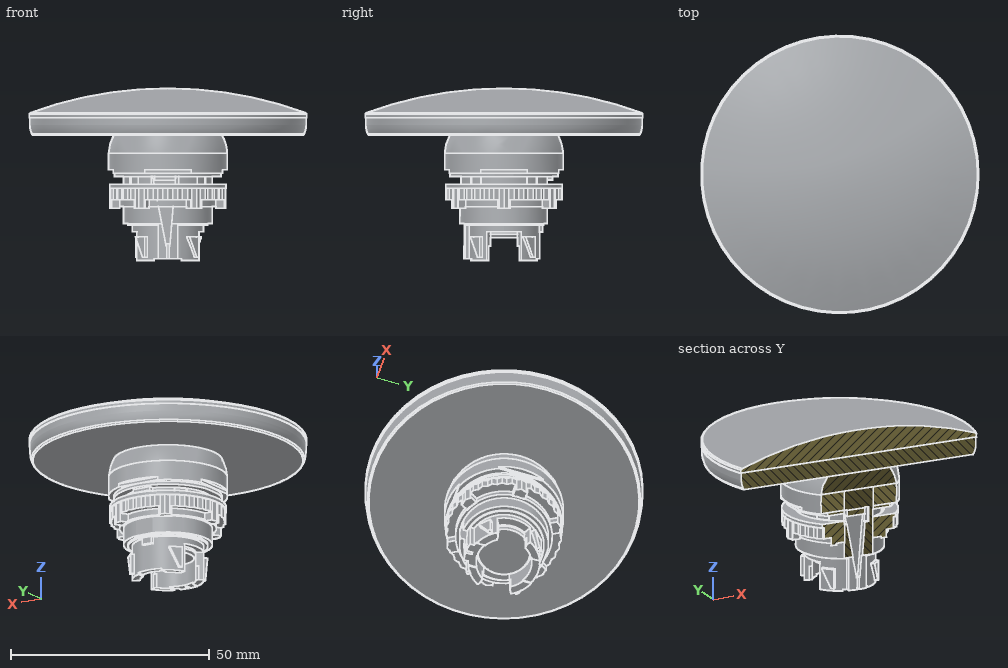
import cadquery as cq
import math

KEY_BOTTOM = 0.4
WINDOW_SLOT_TOP = 3.65
PLUNGER_BOTTOM = 5.75
WINDOW_TOP = 7.2
COLLAR_BOTTOM = 8.9
BARREL_BOTTOM = 9.3
NUT_LUG_BOTTOM = 13.15
NUT_SKIRT_BOTTOM = 13.6
TOOTH_BOTTOM = 15.25
FLANGE_BOTTOM = 18.2
NUT_TOP = 19.25
TAB_BOTTOM = 20.2
GASKET_BOTTOM = 21.1
BEZEL_BOTTOM = 22.0
BEZEL_FLAT_TOP = 22.8
BEZEL_TOP = 27.0
HEAD_BOTTOM = 31.5
LID_BOTTOM = 36.0
RIM_TOP = 37.2
TOTAL_HEIGHT = 43.4

LID_RADIUS = 35.0
RIM_CHAMFER = 0.35
HEAD_RADIUS = 34.85
HEAD_BOTTOM_RADIUS = 34.0
HEAD_EDGE_START = 34.1
HEAD_EDGE_END = 31.9
HEAD_EDGE_END_RADIUS = 34.35
HEAD_EDGE_MIDDLE_RADIUS = 34.7
PLUNGER_RADIUS = 7.0
PLUNGER_TIP_RADIUS = 6.6
PLUNGER_TAPER_HEIGHT = 0.9

BEZEL_RADIUS = 15.0
BEZEL_FLAT_DISTANCE = 13.8
BOOT_TOP_RADIUS = 13.7
BOOT_MIDDLE_RADIUS = 14.6

GASKET_RADIUS = 13.65
GASKET_FLAT_DISTANCE = 13.45
FRONT_TAB_LEFT = -3.3
FRONT_TAB_RIGHT = 1.8
FRONT_TAB_REACH = 10.7
REAR_TAB_WIDTH = 5.05
REAR_TAB_REACH = 12.25

BARREL_RADIUS = 11.2
REAR_FLAT_DISTANCE = 10.9
COLLAR_RADIUS = 10.1
LEG_RADIUS = 9.0
WINDOW_HALF_ANGLE = 29.0
WINDOW_SLOT_WIDTH = 7.55
KEY_WIDTH = 4.9
FOOT_RELIEF_WIDTH = 6.85
REAR_LUG_WIDTH = 2.8
REAR_LUG_REACH = 9.8
REAR_LUG_BOTTOM = 7.15

GUIDE_FLOOR = 8.8
GUIDE_BOTTOM = 3.6
GUIDE_BOTTOM_LEFT = -0.4
GUIDE_BOTTOM_RIGHT = 0.5
GUIDE_TOP_LEFT = -4.0
GUIDE_TOP_RIGHT = 2.0
GUIDE_TAIL_WIDTH = 0.6
GUIDE_TAIL_TOP = 4.2
GUIDE_TAIL_FLOOR = 8.4
GUIDE_POCKET_LEFT = -4.2
GUIDE_POCKET_RIGHT = 2.8
GUIDE_POCKET_FLOOR = 9.95

POCKET_ANGLES = (40, 140, 220, 320)
POCKET_SPAN = 17.0
POCKET_DEPTH = 0.35

LEFT_HOOK_ANGLES = (135, 225)
RIGHT_HOOK_ANGLES = (45, 315)
RIGHT_HOOK_SHIFT = -0.4
HOOK_BOTTOM = 0.85
HOOK_TOP = 5.95
HOOK_REACH = 9.9
HOOK_ROOT = 8.4
HOOK_LEFT = -1.7
HOOK_RIGHT = 1.6
HOOK_TIP_LEFT = 0.85

FLANGE_RADIUS = 14.7
TOOTH_TIP_RADIUS = 14.6
TOOTH_ROOT_RADIUS = 14.2
TOOTH_COUNT = 36
SKIRT_RADIUS = 12.2
NUT_LUG_COUNT = 6
NUT_LUG_WIDTH = 3.2


def disc(radius, bottom, top):
    return cq.Workplane("XY").workplane(offset=bottom).circle(radius).extrude(top - bottom)


def ring(outer_radius, inner_radius, bottom, top):
    return disc(outer_radius, bottom, top).cut(disc(inner_radius, bottom, top))


def block(x_min, x_max, y_min, y_max, bottom, top):
    size = (x_max - x_min, y_max - y_min, top - bottom)
    return cq.Workplane("XY").box(*size, centered=False).translate((x_min, y_min, bottom))


def polar(radius, degrees):
    angle = math.radians(degrees)
    return (radius * math.cos(angle), radius * math.sin(angle))


def revolve_profile(profile):
    return profile.close().revolve(360, (0, 0, 0), (0, 1, 0))


def front_prism(points, floor, reach):
    """Outline in X and Z, extruded outwards along -Y from the floor distance to the reach."""
    return cq.Workplane("XZ").workplane(offset=floor).polyline(points).close().extrude(reach - floor)


def sector(half_angle, reach, bottom, top):
    """Triangular prism around +X whose two sides run radially from the axis."""
    outline = [(0, 0), polar(reach, -half_angle), polar(reach, half_angle)]
    return cq.Workplane("XY").workplane(offset=bottom).polyline(outline).close().extrude(top - bottom)


def make_lid():
    """Domed lid of the mushroom head."""
    dome_radius = LID_RADIUS - RIM_CHAMFER
    dome_height = TOTAL_HEIGHT - RIM_TOP
    sphere_radius = (dome_radius**2 + dome_height**2) / (2 * dome_height)
    middle = dome_radius / 2
    middle_height = TOTAL_HEIGHT - sphere_radius + math.sqrt(sphere_radius**2 - middle**2)
    return revolve_profile(
        cq.Workplane("XZ")
        .moveTo(0, LID_BOTTOM)
        .lineTo(LID_RADIUS, LID_BOTTOM)
        .lineTo(LID_RADIUS, RIM_TOP - RIM_CHAMFER)
        .lineTo(dome_radius, RIM_TOP)
        .threePointArc((middle, middle_height), (0, TOTAL_HEIGHT))
    )


def make_head():
    """Plate of the mushroom head with the tapered-tip plunger below it."""
    edge_middle = (HEAD_EDGE_MIDDLE_RADIUS, (HEAD_EDGE_START + HEAD_EDGE_END) / 2)
    return revolve_profile(
        cq.Workplane("XZ")
        .moveTo(0, PLUNGER_BOTTOM)
        .lineTo(PLUNGER_TIP_RADIUS, PLUNGER_BOTTOM)
        .lineTo(PLUNGER_RADIUS, PLUNGER_BOTTOM + PLUNGER_TAPER_HEIGHT)
        .lineTo(PLUNGER_RADIUS, HEAD_BOTTOM)
        .lineTo(HEAD_BOTTOM_RADIUS, HEAD_BOTTOM)
        .lineTo(HEAD_EDGE_END_RADIUS, HEAD_EDGE_END)
        .threePointArc(edge_middle, (HEAD_RADIUS, HEAD_EDGE_START))
        .lineTo(HEAD_RADIUS, LID_BOTTOM)
        .lineTo(0, LID_BOTTOM)
    )


def make_boot():
    """Rounded sealing boot between the bezel and the head."""
    middle = (BOOT_MIDDLE_RADIUS, (BEZEL_TOP + HEAD_BOTTOM) / 2)
    return revolve_profile(
        cq.Workplane("XZ")
        .moveTo(PLUNGER_RADIUS, BEZEL_TOP)
        .lineTo(BEZEL_RADIUS, BEZEL_TOP)
        .threePointArc(middle, (BOOT_TOP_RADIUS, HEAD_BOTTOM))
        .lineTo(PLUNGER_RADIUS, HEAD_BOTTOM)
    )


def make_bezel():
    """Ring with four flats round its lower edge."""
    flats = block(
        -BEZEL_FLAT_DISTANCE, BEZEL_FLAT_DISTANCE,
        -BEZEL_FLAT_DISTANCE, BEZEL_FLAT_DISTANCE,
        BEZEL_BOTTOM, BEZEL_FLAT_TOP,
    )
    lower = ring(BEZEL_RADIUS, BARREL_RADIUS, BEZEL_BOTTOM, BEZEL_FLAT_TOP).intersect(flats)
    return ring(BEZEL_RADIUS, BARREL_RADIUS, BEZEL_FLAT_TOP, BEZEL_TOP).union(lower)


def make_gasket():
    """Flat gasket with flats at both sides and a tab at the front and the rear."""
    flats = block(
        -GASKET_FLAT_DISTANCE, GASKET_FLAT_DISTANCE,
        -GASKET_RADIUS, GASKET_RADIUS,
        GASKET_BOTTOM, BEZEL_BOTTOM,
    )
    gasket = ring(GASKET_RADIUS, BARREL_RADIUS, GASKET_BOTTOM, BEZEL_BOTTOM).intersect(flats)
    front_tab = block(
        FRONT_TAB_LEFT, FRONT_TAB_RIGHT, -FRONT_TAB_REACH, -GUIDE_FLOOR, TAB_BOTTOM, GASKET_BOTTOM
    )
    front_bridge = block(
        FRONT_TAB_LEFT, FRONT_TAB_RIGHT, -BARREL_RADIUS, -GUIDE_FLOOR, GASKET_BOTTOM, BEZEL_BOTTOM
    )
    rear_tab = block(
        -REAR_TAB_WIDTH / 2, REAR_TAB_WIDTH / 2,
        REAR_FLAT_DISTANCE, REAR_TAB_REACH,
        TAB_BOTTOM, GASKET_BOTTOM,
    )
    return gasket.union(front_bridge).union(front_tab).union(rear_tab)


def make_hook(angle, shift):
    """Wedge with one sloping side, standing out from a leg and shifted sideways along it."""
    outline = [
        (HOOK_LEFT + shift, HOOK_TOP),
        (HOOK_RIGHT + shift, HOOK_TOP),
        (HOOK_RIGHT + shift, HOOK_BOTTOM),
        (HOOK_TIP_LEFT + shift, HOOK_BOTTOM),
    ]
    turn_from_front = angle + 90
    return front_prism(outline, HOOK_ROOT, HOOK_REACH).rotate((0, 0, 0), (0, 0, 1), turn_from_front)


def make_guide():
    """Space of the front guide slot, with its narrow tail and the shallow pocket at its top."""
    outline = [
        (GUIDE_BOTTOM_LEFT, GUIDE_BOTTOM),
        (GUIDE_BOTTOM_RIGHT, GUIDE_BOTTOM),
        (GUIDE_TOP_RIGHT, BEZEL_BOTTOM),
        (GUIDE_TOP_LEFT, BEZEL_BOTTOM),
    ]
    taper = front_prism(outline, GUIDE_FLOOR, BARREL_RADIUS)
    half_tail = GUIDE_TAIL_WIDTH / 2
    tail = block(-half_tail, half_tail, -BARREL_RADIUS, -GUIDE_TAIL_FLOOR, KEY_BOTTOM, GUIDE_TAIL_TOP)
    pocket = block(
        GUIDE_POCKET_LEFT, GUIDE_POCKET_RIGHT,
        -BARREL_RADIUS, -GUIDE_POCKET_FLOOR,
        FLANGE_BOTTOM, BEZEL_BOTTOM,
    )
    return taper.union(tail).union(pocket)


def make_barrel():
    """Upper barrel with a flat at the rear and shallow pockets near the gasket."""
    barrel = disc(BARREL_RADIUS, BARREL_BOTTOM, BEZEL_TOP)
    barrel = barrel.cut(
        block(
            -BARREL_RADIUS, BARREL_RADIUS,
            REAR_FLAT_DISTANCE, BARREL_RADIUS,
            BARREL_BOTTOM, GASKET_BOTTOM,
        )
    )
    pocket_ring = ring(BARREL_RADIUS, BARREL_RADIUS - POCKET_DEPTH, NUT_TOP, GASKET_BOTTOM)
    pocket = pocket_ring.intersect(sector(POCKET_SPAN / 2, 2 * BARREL_RADIUS, NUT_TOP, GASKET_BOTTOM))
    for angle in POCKET_ANGLES:
        barrel = barrel.cut(pocket.rotate((0, 0, 0), (0, 0, 1), angle))
    return barrel


def make_legs():
    """Lower sleeve with a window and slot at each side, bayonet hooks, a front key and a rear lug."""
    legs = disc(LEG_RADIUS, 0, COLLAR_BOTTOM)
    for angle in LEFT_HOOK_ANGLES:
        legs = legs.union(make_hook(angle, 0))
    for angle in RIGHT_HOOK_ANGLES:
        legs = legs.union(make_hook(angle, RIGHT_HOOK_SHIFT))
    half_relief = FOOT_RELIEF_WIDTH / 2
    legs = legs.cut(block(-half_relief, half_relief, -LEG_RADIUS, LEG_RADIUS, 0, KEY_BOTTOM))
    key = disc(COLLAR_RADIUS, KEY_BOTTOM, COLLAR_BOTTOM).intersect(
        block(-KEY_WIDTH / 2, KEY_WIDTH / 2, -COLLAR_RADIUS, 0, KEY_BOTTOM, COLLAR_BOTTOM)
    )
    rear_lug = block(
        -REAR_LUG_WIDTH / 2, REAR_LUG_WIDTH / 2, 0, REAR_LUG_REACH, REAR_LUG_BOTTOM, COLLAR_BOTTOM
    )
    legs = legs.union(key).union(rear_lug)
    window = sector(WINDOW_HALF_ANGLE, 2 * LEG_RADIUS, 0, WINDOW_TOP)
    for angle in (0, 180):
        legs = legs.cut(window.rotate((0, 0, 0), (0, 0, 1), angle))
    half_slot = WINDOW_SLOT_WIDTH / 2
    return legs.cut(block(-LEG_RADIUS, LEG_RADIUS, -half_slot, half_slot, 0, WINDOW_SLOT_TOP))


def make_housing():
    """Barrel and legs in one piece, bored through for the plunger."""
    collar = disc(COLLAR_RADIUS, COLLAR_BOTTOM, BARREL_BOTTOM)
    housing = make_legs().union(collar).union(make_barrel())
    housing = housing.cut(disc(PLUNGER_RADIUS, 0, BEZEL_TOP))
    return housing.cut(make_guide())


def toothed_disc(bottom, top):
    """Disc whose edge is a zigzag of pointed teeth."""
    half_pitch = 180 / TOOTH_COUNT
    outline = []
    for tooth in range(TOOTH_COUNT):
        tip_angle = 2 * half_pitch * tooth
        outline.append(polar(TOOTH_TIP_RADIUS, tip_angle))
        outline.append(polar(TOOTH_ROOT_RADIUS, tip_angle + half_pitch))
    return cq.Workplane("XY").workplane(offset=bottom).polyline(outline).close().extrude(top - bottom)


def make_nut():
    """Fixing nut with a flange, a toothed grip, a round skirt and lugs below the grip."""
    nut = disc(FLANGE_RADIUS, FLANGE_BOTTOM, NUT_TOP)
    nut = nut.union(toothed_disc(TOOTH_BOTTOM, FLANGE_BOTTOM))
    nut = nut.union(disc(SKIRT_RADIUS, NUT_SKIRT_BOTTOM, TOOTH_BOTTOM))
    lug_blank = toothed_disc(NUT_LUG_BOTTOM, TOOTH_BOTTOM).cut(
        disc(SKIRT_RADIUS, NUT_LUG_BOTTOM, NUT_SKIRT_BOTTOM)
    )
    lug_zone = block(
        0, TOOTH_TIP_RADIUS, -NUT_LUG_WIDTH / 2, NUT_LUG_WIDTH / 2, NUT_LUG_BOTTOM, TOOTH_BOTTOM
    )
    for index in range(NUT_LUG_COUNT):
        turned_zone = lug_zone.rotate((0, 0, 0), (0, 0, 1), index * 360 / NUT_LUG_COUNT)
        nut = nut.union(lug_blank.intersect(turned_zone))
    return nut.cut(disc(BARREL_RADIUS, NUT_LUG_BOTTOM, NUT_TOP))


lid = make_lid()
head = make_head()
boot = make_boot()
bezel = make_bezel()
gasket = make_gasket()
housing = make_housing()
nut = make_nut()

bodies = [lid, head, boot, bezel, gasket, housing, nut]

result = cq.Compound.makeCompound([body.solids().val() for body in bodies])